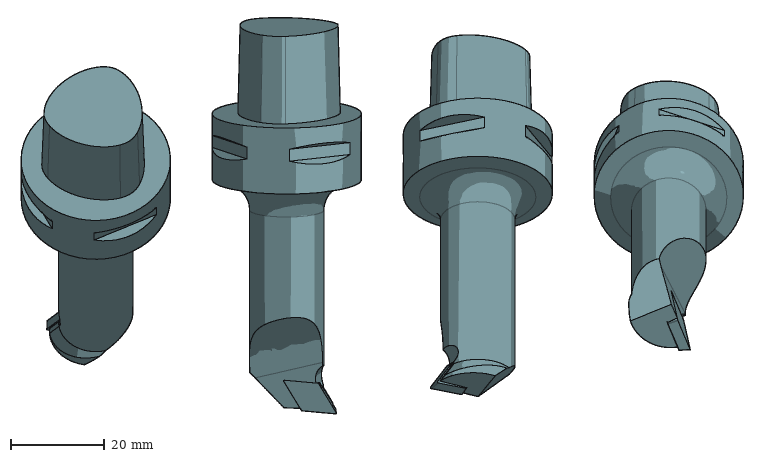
import cadquery as cq
import math


TAPER_LENGTH = 19.0
TAPER_DIAMETER = 22.0
TAPER_RATIO = 1 / 20
LOBE_ECCENTRICITY = 0.7
LOBE_COUNT = 3
FIRST_LOBE = 90.0
LOBE_HALF_ANGLE = 24.0
CURVE_STEPS = 8

FLANGE_RADIUS = 16.0
FLANGE_BOTTOM = -14.4
SLOT_COUNT = 4
FIRST_SLOT = 45.0
SLOT_FLOOR_DISTANCE = 14.15
SLOT_MIDDLE = -5.95
SLOT_FLOOR_WIDTH = 2.6
SLOT_MOUTH_WIDTH = 4.5

SHANK_RADIUS = 8.0
NECK_FILLET = 6.0
NECK_FILLET_BOTTOM = -21.0
NECK_CONE_ANGLE = 15.0

HEAD_TOP = -60.0
HEAD_BOTTOM = -64.1
HEAD_FLARE = 30.0
HEAD_LIMIT_RADIUS = 9.0
HEAD_LIMIT_X = SHANK_RADIUS - HEAD_LIMIT_RADIUS
BACK_CHAMFER_TOP = -56.5

REACH = 11.0
TIP_BOTTOM = -65.0
NOSE_RADIUS = 0.2
INSCRIBED_DIAMETER = 6.35
INSERT_THICKNESS = 2.38
INSERT_CORNER = 55.0
END_EDGE_RISE = 3.0
CLEARANCE_ANGLE = 7.0
RAKE_TILT = 4.0
INSERT_EDGE = INSCRIBED_DIAMETER / math.sin(math.radians(INSERT_CORNER))
FLANK_SETBACK = 0.6
FLANK_LENGTH = 6.4

FLUTE_RADIUS = 14.3
FLUTE_ARC_BOTTOM = -56.0
FLUTE_FALL = 15.0
RAKE_SLOPE = math.tan(math.radians(RAKE_TILT))
FLUTE_FLOOR_Y = REACH * RAKE_SLOPE
FLUTE_OVERRUN = 2.0
FLUTE_TOP_Y = SHANK_RADIUS + FLUTE_OVERRUN

GULLET_RADIUS = 3.4
GULLET_X = -9.85
GULLET_Z = -57.5

CLEAR = 20.0


def polygon_point(diameter, angle):
    """Point of the lobed curve of constant width whose normal is at this angle from a lobe peak."""
    turn = math.radians(angle)
    distance = diameter / 2 + LOBE_ECCENTRICITY * math.cos(LOBE_COUNT * turn)
    shift = -LOBE_COUNT * LOBE_ECCENTRICITY * math.sin(LOBE_COUNT * turn)
    direction = turn + math.radians(FIRST_LOBE)
    return (
        distance * math.cos(direction) - shift * math.sin(direction),
        distance * math.sin(direction) + shift * math.cos(direction),
    )


def polygon_wire(diameter, z):
    pitch = 360 / LOBE_COUNT
    edges = []
    for lobe in range(LOBE_COUNT):
        start = lobe * pitch - LOBE_HALF_ANGLE
        middle = lobe * pitch + LOBE_HALF_ANGLE
        for first, last in ((start, middle), (middle, start + pitch)):
            step = (last - first) / CURVE_STEPS
            flat_points = [polygon_point(diameter, first + i * step) for i in range(CURVE_STEPS + 1)]
            edges.append(cq.Edge.makeSpline([cq.Vector(x, y, z) for x, y in flat_points]))
    return cq.Wire.assembleEdges(edges)


def make_taper():
    top_diameter = TAPER_DIAMETER - TAPER_LENGTH * TAPER_RATIO
    wires = [polygon_wire(TAPER_DIAMETER, 0), polygon_wire(top_diameter, TAPER_LENGTH)]
    return cq.Workplane(obj=cq.Solid.makeLoft(wires, True))


def make_flange_and_shank():
    cone_turn = math.radians(NECK_CONE_ANGLE)
    arc_x = SHANK_RADIUS + NECK_FILLET
    arc_top = (
        arc_x - NECK_FILLET * math.sin(cone_turn),
        NECK_FILLET_BOTTOM + NECK_FILLET * math.cos(cone_turn),
    )
    arc_turn = (math.radians(90) - cone_turn) / 2
    arc_middle = (
        arc_x - NECK_FILLET * math.cos(arc_turn),
        NECK_FILLET_BOTTOM + NECK_FILLET * math.sin(arc_turn),
    )
    return (
        cq.Workplane("XZ")
        .moveTo(0, 0)
        .lineTo(FLANGE_RADIUS, 0)
        .lineTo(FLANGE_RADIUS, FLANGE_BOTTOM)
        .lineTo(*arc_top)
        .threePointArc(arc_middle, (SHANK_RADIUS, NECK_FILLET_BOTTOM))
        .lineTo(SHANK_RADIUS, HEAD_TOP)
        .lineTo(0, HEAD_TOP)
        .close()
        .revolve(360, (0, 0), (0, 1))
    )


def make_gripper_slot(direction):
    half_floor = SLOT_FLOOR_WIDTH / 2
    half_mouth = SLOT_MOUTH_WIDTH / 2
    return (
        cq.Workplane("XZ")
        .polyline([
            (SLOT_FLOOR_DISTANCE, SLOT_MIDDLE - half_floor),
            (FLANGE_RADIUS, SLOT_MIDDLE - half_mouth),
            (FLANGE_RADIUS, SLOT_MIDDLE + half_mouth),
            (SLOT_FLOOR_DISTANCE, SLOT_MIDDLE + half_floor),
        ])
        .close()
        .extrude(CLEAR, both=True)
        .rotate((0, 0, 0), (0, 0, 1), direction)
    )


def make_head():
    height = HEAD_TOP - HEAD_BOTTOM
    bottom_radius = SHANK_RADIUS + height * math.tan(math.radians(HEAD_FLARE))
    flare = cq.Solid.makeCone(bottom_radius, SHANK_RADIUS, height, cq.Vector(0, 0, HEAD_BOTTOM))
    limit = (
        cq.Workplane("XY", origin=(HEAD_LIMIT_X, 0, HEAD_BOTTOM))
        .circle(HEAD_LIMIT_RADIUS)
        .extrude(height)
    )
    return limit.intersect(cq.Workplane(obj=flare))


def make_back_chamfer():
    return (
        cq.Workplane("XZ")
        .polyline([
            (SHANK_RADIUS, BACK_CHAMFER_TOP),
            (SHANK_RADIUS + CLEAR, BACK_CHAMFER_TOP),
            (SHANK_RADIUS + CLEAR, BACK_CHAMFER_TOP - CLEAR),
            (SHANK_RADIUS - CLEAR, BACK_CHAMFER_TOP - CLEAR),
        ])
        .close()
        .extrude(CLEAR, both=True)
    )


def make_flute():
    """Flat floor running up into an arc, swept obliquely along the rake face and down towards +X."""
    arc_turn = math.acos(1 - (FLUTE_TOP_Y - FLUTE_FLOOR_Y) / FLUTE_RADIUS)

    def arc_point(turn):
        y = FLUTE_FLOOR_Y + FLUTE_RADIUS * (1 - math.cos(turn))
        z = FLUTE_ARC_BOTTOM + FLUTE_RADIUS * math.sin(turn)
        return (y, z)

    arc_middle = arc_point(arc_turn / 2)
    arc_top = arc_point(arc_turn)
    profile = (
        cq.Workplane("YZ")
        .moveTo(FLUTE_FLOOR_Y, HEAD_BOTTOM - CLEAR)
        .lineTo(FLUTE_FLOOR_Y, FLUTE_ARC_BOTTOM)
        .threePointArc(arc_middle, arc_top)
        .lineTo(FLUTE_TOP_Y + CLEAR, arc_top[1])
        .lineTo(FLUTE_TOP_Y + CLEAR, HEAD_BOTTOM - CLEAR)
        .close()
        .wires()
        .val()
    )
    along = cq.Vector(1, RAKE_SLOPE, -math.tan(math.radians(FLUTE_FALL))) * CLEAR
    sweep = cq.Solid.extrudeLinear(profile.translate(along * -1), [], along * 2)
    return cq.Workplane(obj=sweep)


def rake_plane():
    """Plane of the rake face, centred on the nose arc, looking out of the insert."""
    tilt = math.radians(RAKE_TILT)
    nose_x = NOSE_RADIUS - REACH
    return cq.Plane(
        origin=(nose_x, FLUTE_FLOOR_Y + nose_x * RAKE_SLOPE, TIP_BOTTOM + NOSE_RADIUS),
        xDir=(-math.cos(tilt), -math.sin(tilt), 0),
        normal=(-math.sin(tilt), math.cos(tilt), 0),
    )


def along_edge(start, length, angle):
    """Point at a length from start on the rake plane, at an angle above the inward horizontal."""
    turn = math.radians(angle)
    return (start[0] - length * math.cos(turn), start[1] + length * math.sin(turn))


def insert_corner():
    half_corner = INSERT_CORNER / 2
    distance = NOSE_RADIUS / math.sin(math.radians(half_corner))
    return along_edge((0, 0), -distance, END_EDGE_RISE + half_corner)


def make_insert():
    side_angle = END_EDGE_RISE + INSERT_CORNER
    tip = insert_corner()
    end_corner = along_edge(tip, INSERT_EDGE, END_EDGE_RISE)
    side_corner = along_edge(tip, INSERT_EDGE, side_angle)
    far_corner = along_edge(end_corner, INSERT_EDGE, side_angle)
    insert = (
        cq.Workplane("XY")
        .polyline([tip, end_corner, far_corner, side_corner])
        .close()
        .extrude(-INSERT_THICKNESS, taper=CLEARANCE_ANGLE)
        .edges("not #Z")
        .fillet(NOSE_RADIUS)
    )
    return cq.Workplane(obj=insert.val().moved(cq.Location(rake_plane())))


def make_flank_cut():
    """Removes the holder outside a plane set back from the side cutting edge."""
    side_angle = END_EDGE_RISE + INSERT_CORNER
    base = along_edge(insert_corner(), FLANK_SETBACK, side_angle - 90)
    lower = along_edge(base, -CLEAR, side_angle)
    upper = along_edge(base, FLANK_LENGTH, side_angle)
    outward = side_angle + 90
    corners = [lower, upper, along_edge(upper, CLEAR, outward), along_edge(lower, CLEAR, outward)]
    return (
        cq.Workplane(rake_plane())
        .polyline(corners)
        .close()
        .extrude(CLEAR, both=True)
    )


def make_gullet():
    return (
        cq.Workplane("XZ", origin=(GULLET_X, 0, GULLET_Z))
        .circle(GULLET_RADIUS)
        .extrude(CLEAR, both=True)
    )


def make_holder(insert):
    holder = make_flange_and_shank().union(make_taper()).union(make_head())
    for index in range(SLOT_COUNT):
        direction = FIRST_SLOT + index * 360 / SLOT_COUNT
        holder = holder.cut(make_gripper_slot(direction))
    holder = holder.cut(make_back_chamfer()).cut(make_flute())
    holder = holder.cut(make_flank_cut()).cut(make_gullet())
    return holder.cut(insert)


cutting_insert = make_insert()
holder = make_holder(cutting_insert)

result = cq.Compound.makeCompound([holder.solids().val(), cutting_insert.solids().val()])